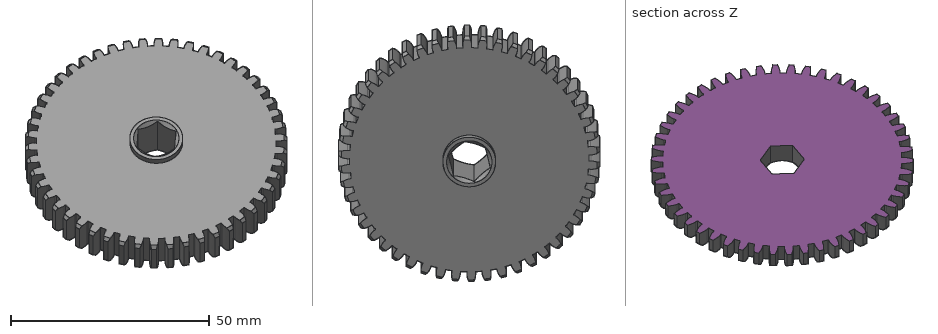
import cadquery as cq
import math

INCH = 25.4

tooth_count = 50
diametral_pitch = 20 / INCH
pressure_angle = math.radians(14.5)
dedendum_factor = 1.25
face_width = 0.375 * INCH
tip_chamfer = 0.03 * INCH
flank_steps = 5

hub_length = 0.5 * INCH
hub_diameter = 0.525 * INCH
hex_across_flats = 0.375 * INCH
countersink_diameter = 0.45 * INCH
countersink_angle = 90.0

module = 1 / diametral_pitch
pitch_radius = tooth_count * module / 2
tip_radius = pitch_radius + module
root_radius = pitch_radius - dedendum_factor * module
base_radius = pitch_radius * math.cos(pressure_angle)
tooth_pitch = 2 * math.pi / tooth_count

hex_across_corners = hex_across_flats / math.cos(math.radians(30))
countersink_radius = countersink_diameter / 2
cone_height = countersink_radius / math.tan(math.radians(countersink_angle / 2))


def polar(radius, angle):
    return (radius * math.cos(angle), radius * math.sin(angle))


def centred_prism(sketch, height):
    """Extrude a sketch on the XY plane into a prism centred on that plane."""
    return sketch.extrude(height).translate((0, 0, -height / 2))


def involute_angle(unwind):
    """Polar angle swept along the involute after unwinding it by an angle."""
    return unwind - math.atan(unwind)


def flank_points(centre, side):
    """Involute flank of the tooth at polar angle centre, listed from base circle to tip."""
    tip_unwind = math.sqrt((tip_radius / base_radius) ** 2 - 1)
    base_half_angle = tooth_pitch / 4 + involute_angle(math.tan(pressure_angle))
    points = []
    for i in range(flank_steps + 1):
        unwind = tip_unwind * i / flank_steps
        radius = base_radius * math.hypot(1, unwind)
        half_angle = base_half_angle - involute_angle(unwind)
        points.append(polar(radius, centre + side * half_angle))
    return points


def root_point(flank):
    """Foot of the radial line that runs from the base end of a flank to the root circle."""
    x, y = flank[0]
    return polar(root_radius, math.atan2(y, x))


def gear_outline():
    """Closed tooth outline: radial below the base circle, involute above it."""
    first_flank = flank_points(0, -1)
    outline = cq.Workplane("XY").moveTo(*root_point(first_flank))
    for i in range(tooth_count):
        centre = i * tooth_pitch
        rising = flank_points(centre, -1)
        falling = flank_points(centre, 1)
        next_rising = flank_points(centre + tooth_pitch, -1)
        root_middle = polar(root_radius, centre + tooth_pitch / 2)

        outline = outline.lineTo(*rising[0]).spline(rising[1:], includeCurrent=True)
        outline = outline.threePointArc(polar(tip_radius, centre), falling[-1])
        outline = outline.spline(falling[-2::-1], includeCurrent=True)
        outline = outline.lineTo(*root_point(falling))
        outline = outline.threePointArc(root_middle, root_point(next_rising))
    return outline.close()


def toothed_disc():
    """Gear rim and web in one plate, with the tooth tips chamfered on both faces."""
    teeth = centred_prism(gear_outline(), face_width)
    blank = centred_prism(cq.Workplane("XY").circle(tip_radius), face_width)
    chamfered_blank = blank.faces("|Z").edges().chamfer(tip_chamfer)
    return teeth.intersect(chamfered_blank)


def hub():
    return centred_prism(cq.Workplane("XY").circle(hub_diameter / 2), hub_length)


def hex_bore():
    """Through hexagon with two corners on the X axis."""
    return centred_prism(cq.Workplane("XY").polygon(6, hex_across_corners), hub_length)


def countersink(side):
    """Cone opening the bore at the hub end face; side is +1 for top, -1 for bottom."""
    end_face = cq.Vector(0, 0, side * hub_length / 2)
    inward = cq.Vector(0, 0, -side)
    return cq.Workplane(cq.Solid.makeCone(countersink_radius, 0, cone_height, end_face, inward))


result = toothed_disc().union(hub()).cut(hex_bore())
for side in (1, -1):
    result = result.cut(countersink(side))